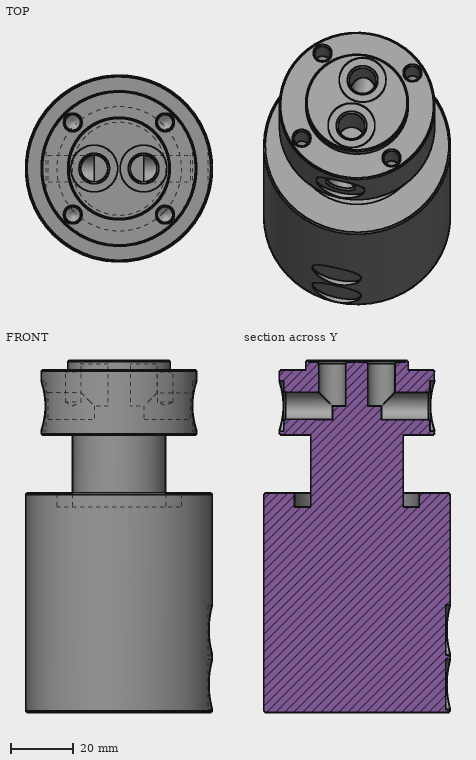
import cadquery as cq

total_height = 113.0
body_diameter = 60.0
body_height = 70.5
stem_diameter = 30.0
head_diameter = 50.0
head_bottom = 89.0
head_top = 110.0
boss_diameter = 33.0
body_chamfer = 0.6
head_chamfer = 0.5
boss_chamfer = 0.5

recess_diameter = 40.0
recess_depth = 4.5

port_offset = 7.9
port_level = 98.4
port_diameter = 8.6
port_mouth_diameter = 9.8
port_mouth_chamfer = (port_mouth_diameter - port_diameter) / 2
top_seat_diameter = 15.0
top_seat_depth = 0.5
side_seat_diameter = 16.0
side_seat_depth = 1.5

body_seat_levels = (9.0, 26.5)

screw_offset = 14.8
screw_diameter = 5.0
screw_mouth_diameter = 6.0
screw_mouth_chamfer = (screw_mouth_diameter - screw_diameter) / 2
screw_depth = 10.2
drill_tip_height = screw_diameter / 4


def cylinder(diameter, bottom, top):
    return cq.Workplane("XY").workplane(offset=bottom).circle(diameter / 2).extrude(top - bottom)


def bore(start, direction, diameter, depth):
    """Solid cylinder running from a start point along a direction."""
    return cq.Workplane(cq.Solid.makeCylinder(diameter / 2, depth, cq.Vector(*start), cq.Vector(*direction)))


def cone(start, direction, start_diameter, end_diameter, depth):
    return cq.Workplane(
        cq.Solid.makeCone(
            start_diameter / 2, end_diameter / 2, depth, cq.Vector(*start), cq.Vector(*direction)
        )
    )


def make_blank():
    body = cylinder(body_diameter, 0, body_height).edges().chamfer(body_chamfer)
    body = body.cut(cylinder(recess_diameter, body_height - recess_depth, body_height))
    stem = cylinder(stem_diameter, body_height - recess_depth, head_bottom)
    head = cylinder(head_diameter, head_bottom, head_top).edges().chamfer(head_chamfer)
    boss = cylinder(boss_diameter, head_top, total_height).faces(">Z").edges().chamfer(boss_chamfer)
    return body.union(stem).union(head).union(boss)


def cut_port_leg(part, mouth, direction, length, seat_diameter, depth):
    """Cut one leg; the mouth lies on the seat, and the seat is cleared outwards by its depth."""
    outward = tuple(-component for component in direction)
    part = part.cut(bore(mouth, outward, seat_diameter, depth))
    part = part.cut(bore(mouth, direction, port_diameter, length))
    return part.cut(cone(mouth, direction, port_mouth_diameter, port_diameter, port_mouth_chamfer))


def cut_elbow_port(part, side):
    seat_top = total_height - top_seat_depth
    seat_side = head_diameter / 2 - side_seat_depth
    part = cut_port_leg(
        part, (side * port_offset, 0, seat_top), (0, 0, -1),
        seat_top - port_level, top_seat_diameter, top_seat_depth,
    )
    return cut_port_leg(
        part, (side * seat_side, 0, port_level), (-side, 0, 0),
        seat_side - port_offset, side_seat_diameter, side_seat_depth,
    )


def cut_body_seat(part, level):
    seat = (body_diameter / 2 - side_seat_depth, 0, level)
    return part.cut(bore(seat, (1, 0, 0), side_seat_diameter, side_seat_depth))


def cut_screw_hole(part, x, y):
    down = (0, 0, -1)
    part = part.cut(bore((x, y, head_top), down, screw_diameter, screw_depth))
    part = part.cut(cone((x, y, head_top), down, screw_mouth_diameter, screw_diameter, screw_mouth_chamfer))
    return part.cut(cone((x, y, head_top - screw_depth), down, screw_diameter, 0, drill_tip_height))


result = make_blank()
for side in (-1, 1):
    result = cut_elbow_port(result, side)
for level in body_seat_levels:
    result = cut_body_seat(result, level)
for x in (-screw_offset, screw_offset):
    for y in (-screw_offset, screw_offset):
        result = cut_screw_hole(result, x, y)